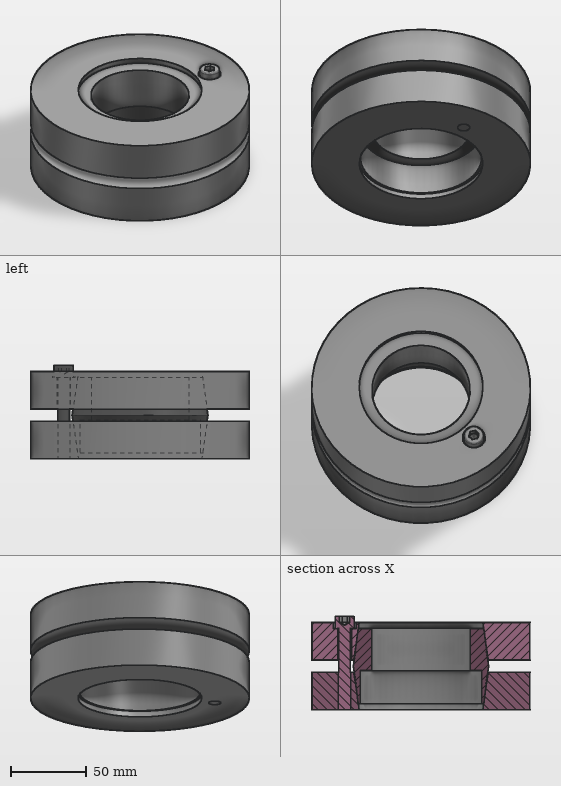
import cadquery as cq
import math

disc_diameter = 145.0
stack_height = 58.0
disc_gap = 8.0
disc_thickness = (stack_height - disc_gap) / 2
mid_height = stack_height / 2

ridge_radius = 45.1
taper_end_radius = 40.9
taper_slope = (ridge_radius - taper_end_radius) / mid_height

ring_recess = 4.0
ring_half_height = mid_height - ring_recess
ring_end_radius = ridge_radius - taper_slope * ring_half_height
bore_diameter = 65.0
relief_diameter = 80.0
bore_length = 27.8
relief_top = stack_height - ring_recess - bore_length

screw_offset = 50.6
shank_diameter = 8.0
head_diameter = 13.0
head_height = 8.0
head_protrusion = 4.0
head_edge_radius = 0.7
seat_height = stack_height + head_protrusion - head_height
socket_flats = 6.0
socket_corners = socket_flats / math.cos(math.pi / 6)
socket_depth = 4.0
socket_point_depth = 1.7
clearance_diameter = 9.0
counterbore_diameter = 15.0


def cylinder(diameter, bottom, top, y=0.0):
    """Vertical cylinder between two heights, centred on X = 0."""
    return cq.Workplane("XY", origin=(0, y, bottom)).circle(diameter / 2).extrude(top - bottom)


def double_taper(end_radius, half_height):
    """Two cones meeting base to base at the ridge in the middle of the stack."""
    profile = [
        (0, mid_height - half_height),
        (end_radius, mid_height - half_height),
        (ridge_radius, mid_height),
        (end_radius, mid_height + half_height),
        (0, mid_height + half_height),
    ]
    return cq.Workplane("XZ").polyline(profile).close().revolve(360, (0, 0), (0, 1))


def tapered_disc(bottom):
    """Plain disc with a bore that matches the taper of the inner ring."""
    blank = cylinder(disc_diameter, bottom, bottom + disc_thickness)
    return blank.cut(double_taper(taper_end_radius, mid_height))


def make_upper_disc():
    bottom = disc_thickness + disc_gap
    clearance_hole = cylinder(clearance_diameter, bottom, stack_height, screw_offset)
    counterbore = cylinder(counterbore_diameter, seat_height, stack_height, screw_offset)
    return tapered_disc(bottom).cut(clearance_hole).cut(counterbore)


def make_lower_disc():
    screw_hole = cylinder(shank_diameter, 0, disc_thickness, screw_offset)
    return tapered_disc(0).cut(screw_hole)


def make_inner_ring():
    bore = cylinder(bore_diameter, 0, stack_height)
    relief = cylinder(relief_diameter, 0, relief_top)
    return double_taper(ring_end_radius, ring_half_height).cut(bore).cut(relief)


def make_screw():
    head_top = seat_height + head_height
    socket_floor = head_top - socket_depth
    head = cylinder(head_diameter, seat_height, head_top, screw_offset)
    head = head.faces(">Z").edges().fillet(head_edge_radius)
    shank = cylinder(shank_diameter, 0, seat_height, screw_offset)
    socket = (
        cq.Workplane("XY", origin=(0, screw_offset, socket_floor))
        .transformed(rotate=(0, 0, 90))
        .polygon(6, socket_corners)
        .extrude(socket_depth)
    )
    point = cq.Workplane(cq.Solid.makeCone(
        0,
        socket_flats / 2,
        socket_point_depth,
        pnt=cq.Vector(0, screw_offset, socket_floor - socket_point_depth),
    ))
    return head.union(shank).cut(socket).cut(point)


upper_disc = make_upper_disc()
lower_disc = make_lower_disc()
inner_ring = make_inner_ring()
screw = make_screw()

result = cq.Compound.makeCompound([
    upper_disc.solids().val(),
    lower_disc.solids().val(),
    inner_ring.solids().val(),
    screw.solids().val(),
])